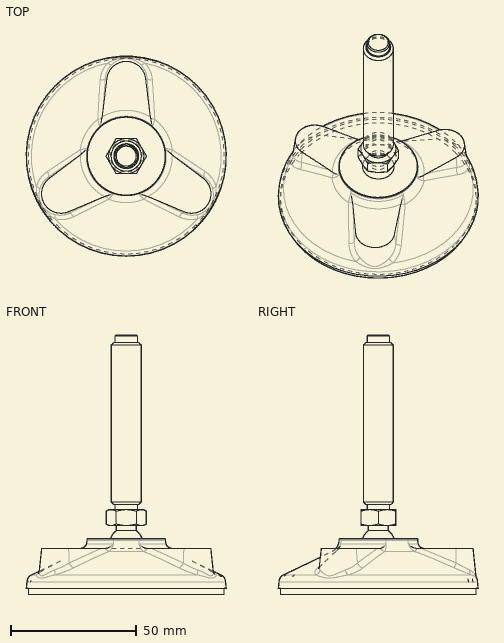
import cadquery as cq
import math

sole_radius = 39.1
rim_bottom = 2.5
rim_radius = 40.01
rim_top_radius = 39.7
cone_angle = math.radians(25.7)
rim_round = 3.2
rim_round_start = 5.0

hub_radius = 15.8
hub_top = 22.4
hub_fillet = 5.0
hub_edge_chamfer = 0.2

lug_count = 3
first_lug_angle = 90
lug_top = 18.5
lug_bottom = 5.7
lug_tip_radius = 7.8
lug_tip_center = 30.1
lug_side_angle = math.radians(7)
lug_draft = 6
lug_inner_end = 8.3
lug_fillet = 2.5

lug_blend_top = 25.9
hub_blend_top = 31.1

ball_radius = 13.4 / 2
ball_center = 20.2
ball_neck_radius = 8.1 / 2

nut_bottom = 27.6
nut_top = 33.9
nut_flats = 14.0
nut_face_radius = 7.0
nut_chamfer_height = 0.6

total_height = 103.8
thread_radius = 12.0 / 2
thread_bottom = 35.9
thread_top = 100.8
thread_chamfer = 1.0
neck_radius = 9.0 / 2
tip_chamfer = 0.5

arc_turn = math.pi / 2 - cone_angle
arc_tangent = math.tan(arc_turn / 2)
rim_arc_center = (rim_top_radius - rim_round, rim_round_start)
hub_corner = (rim_round_start + rim_round * arc_tangent
              + (rim_top_radius - hub_radius) * math.tan(cone_angle))
hub_fillet_top = hub_corner + hub_fillet * arc_tangent
hub_arc_center = (hub_radius + hub_fillet, hub_fillet_top)


def cylinder(radius, bottom, top):
    return cq.Workplane("XY", origin=(0, 0, bottom)).circle(radius).extrude(top - bottom)


def arc_point(center, radius, angle):
    return (center[0] + radius * math.cos(angle), center[1] + radius * math.sin(angle))


def revolve(profile):
    return profile.close().revolve(360, (0, 0, 0), (0, 1, 0))


def make_base(top):
    """Revolved foot: sole, rim, rounded edge, conical cover and a hub of the given height."""
    return revolve(
        cq.Workplane("XZ")
        .lineTo(sole_radius, 0)
        .lineTo(sole_radius, rim_bottom)
        .lineTo(rim_radius, rim_bottom)
        .lineTo(rim_top_radius, rim_round_start)
        .threePointArc(
            arc_point(rim_arc_center, rim_round, arc_turn / 2),
            arc_point(rim_arc_center, rim_round, arc_turn),
        )
        .lineTo(*arc_point(hub_arc_center, hub_fillet, math.pi + arc_turn))
        .threePointArc(
            arc_point(hub_arc_center, hub_fillet, math.pi + arc_turn / 2),
            (hub_radius, hub_fillet_top),
        )
        .lineTo(hub_radius, top)
        .lineTo(0, top)
    )


def make_lug():
    """Grip lug along +X with a round tip, widening inward and downward, taller than needed."""
    tip_radius = lug_tip_radius - (lug_blend_top - lug_top) * math.tan(math.radians(lug_draft))
    tangent_x = lug_tip_center + tip_radius * math.sin(lug_side_angle)
    tangent_y = tip_radius * math.cos(lug_side_angle)
    inner_y = tangent_y + (tangent_x - lug_inner_end) * math.tan(lug_side_angle)
    return (
        cq.Workplane("XY")
        .moveTo(lug_inner_end, -inner_y)
        .lineTo(tangent_x, -tangent_y)
        .threePointArc((lug_tip_center + tip_radius, 0), (tangent_x, tangent_y))
        .lineTo(lug_inner_end, inner_y)
        .close()
        .extrude(lug_bottom - lug_blend_top, taper=-lug_draft)
        .translate((0, 0, lug_blend_top))
    )


def make_envelope():
    """Revolved limit of the foot: lug tops, their fillet to the hub, and the hub itself."""
    seat_center_z = lug_top + lug_fillet
    drop = hub_fillet_top - seat_center_z
    reach = math.sqrt((hub_fillet - lug_fillet) ** 2 - drop ** 2)
    seat_center = (hub_arc_center[0] - reach, seat_center_z)
    contact = math.pi + math.atan2(drop, reach)
    return revolve(
        cq.Workplane("XZ")
        .lineTo(rim_radius + 1, 0)
        .lineTo(rim_radius + 1, lug_top)
        .lineTo(seat_center[0], lug_top)
        .threePointArc(
            arc_point(seat_center, lug_fillet, (contact + 1.5 * math.pi) / 2),
            arc_point(seat_center, lug_fillet, contact),
        )
        .threePointArc(
            arc_point(hub_arc_center, hub_fillet, (contact + math.pi) / 2),
            (hub_radius, hub_fillet_top),
        )
        .lineTo(hub_radius, hub_top - hub_edge_chamfer)
        .lineTo(hub_radius - hub_edge_chamfer, hub_top)
        .lineTo(0, hub_top)
    )


def make_nut():
    """Hexagon with its corners turned off at both ends."""
    corner_radius = nut_flats / math.sqrt(3)
    hexagon = (
        cq.Workplane("XY", origin=(0, 0, nut_bottom))
        .polygon(6, 2 * corner_radius)
        .extrude(nut_top - nut_bottom)
    )
    turned = revolve(
        cq.Workplane("XZ")
        .moveTo(0, nut_bottom)
        .lineTo(nut_face_radius, nut_bottom)
        .lineTo(corner_radius, nut_bottom + nut_chamfer_height)
        .lineTo(corner_radius, nut_top - nut_chamfer_height)
        .lineTo(nut_face_radius, nut_top)
        .lineTo(0, nut_top)
    )
    return hexagon.intersect(turned)


def make_spindle():
    """Ball, nut and chamfered thread with its reduced ends."""
    ball = cq.Workplane("XY").sphere(ball_radius).translate((0, 0, ball_center))
    ball_neck = cylinder(ball_neck_radius, ball_center, nut_bottom)
    core = cylinder(neck_radius, nut_top, total_height).faces(">Z").chamfer(tip_chamfer)
    thread = cylinder(thread_radius, thread_bottom, thread_top).edges().chamfer(thread_chamfer)
    return ball.union(ball_neck).union(make_nut()).union(core).union(thread)


def is_lug_root(edge):
    """True where a lug side meets the cone, the rim or the hub; other edges are lines and circles."""
    return edge.geomType() not in ("LINE", "CIRCLE")


def make_foot():
    """Base with tall lugs blended into it, then trimmed to the lug tops and hub contour."""
    lug_spacing = 360 / lug_count
    foot = make_base(hub_blend_top).rotate((0, 0, 0), (0, 0, 1), lug_spacing / 2)
    for index in range(lug_count):
        foot = foot.union(make_lug().rotate((0, 0, 0), (0, 0, 1), index * lug_spacing))
    foot = foot.edges().filter(is_lug_root).fillet(lug_fillet)
    foot = foot.intersect(make_envelope())
    return foot.rotate((0, 0, 0), (0, 0, 1), first_lug_angle)


result = make_foot().union(make_spindle())